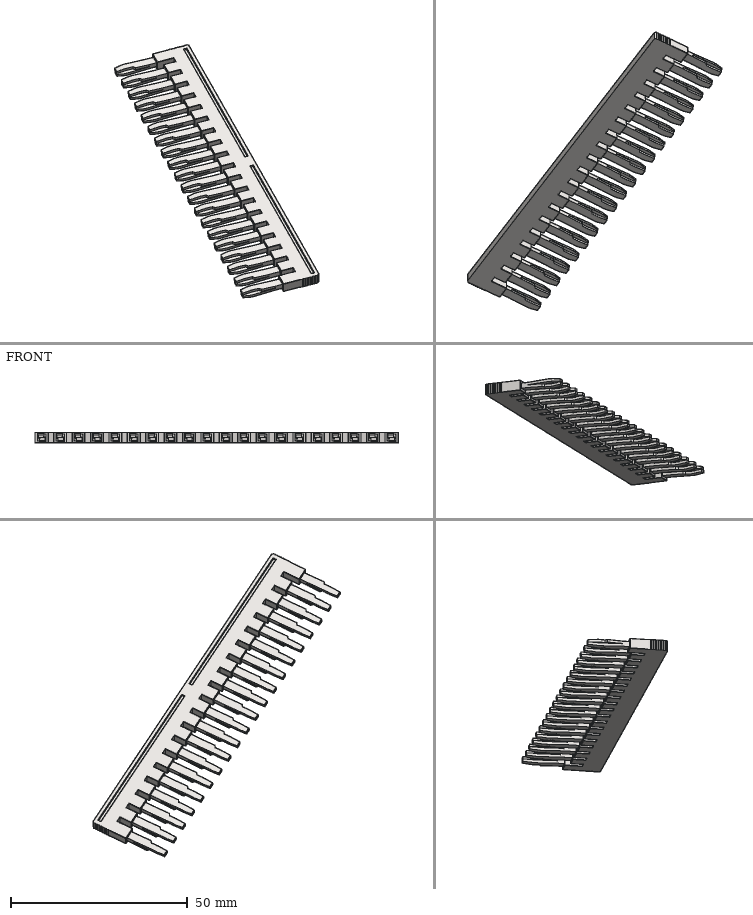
import cadquery as cq


total_length = 102.8
total_depth = 22.7
thickness = 3.0

serration_height = 0.1
serration_pitch = 0.7
serration_count = 7
serration_start = 0.4
serration_backing = 0.5

bar_length = total_length - serration_height
bar_depth = 5.9
back_corner_chamfer = 0.4
tooth_count = 20
end_pin_margin = 2.0
tooth_pitch = (bar_length - 2 * end_pin_margin) / (tooth_count - 1)
tooth_width = 3.7
tooth_chamfer = 0.1
inner_tooth_end = 9.6
outer_tooth_end = 10.9
tooth_overlap = 1.0

groove_margin = 1.3
groove_gap = 4.1
groove_back = 0.98
groove_width = 1.0
groove_depth = 0.3
groove_draft = 30.0

pin_width = 2.5
pin_thickness = 1.5
bend_start = 13.0
bulge_at = 19.6
bulge_thickness = 2.2
split_gap = 0.1
bulge_gap = 0.5
notch_start = 17.3
notch_end = 17.8
notch_width = 0.6
tip_taper_start = 20.8
tip_taper = 0.3

last_index = tooth_count - 1


def make_bar():
    """Back bar that carries all teeth, with its rear corners broken."""
    bar = cq.Workplane("XY").box(bar_length, bar_depth, thickness, centered=(False, False, True))
    bar = bar.translate((0, -bar_depth, 0))
    return bar.edges("|Z and >Y").chamfer(back_corner_chamfer)


def make_tooth(x_min, x_max, end_depth):
    """Tooth with all outer edges broken; its rear edges are buried in the bar."""
    length = end_depth - bar_depth + tooth_overlap
    tooth = cq.Workplane("XY").box(x_max - x_min, length, thickness)
    tooth = tooth.edges("|Y or <Y").chamfer(tooth_chamfer)
    return tooth.translate(((x_min + x_max) / 2, length / 2 - end_depth, 0))


def make_serration(x):
    """Row of small triangular ridges that rise in +X from the plane at x, on a thin backing."""
    back_x = x - serration_backing
    profile = cq.Workplane("XY").workplane(offset=-thickness / 2)
    profile = profile.moveTo(back_x, -serration_start).lineTo(x, -serration_start)
    for index in range(serration_count):
        ridge_start = serration_start + index * serration_pitch
        ridge_end = ridge_start + serration_pitch
        profile = profile.lineTo(x + serration_height, -ridge_start - serration_pitch / 2)
        profile = profile.lineTo(x, -ridge_end)
    return profile.lineTo(back_x, -ridge_end).close().extrude(thickness)


def make_groove(x_min, x_max):
    """Shallow marking groove with sloping walls, as a cutter."""
    length = x_max - x_min
    cutter = cq.Workplane("XY").workplane(offset=thickness / 2).rect(length, groove_width)
    cutter = cutter.extrude(-groove_depth, taper=groove_draft)
    return cutter.translate(((x_min + x_max) / 2, -groove_back - groove_width / 2, 0))


def make_leaf():
    """Upper spring leaf: plan outline intersected with its bent side profile."""
    half_width = pin_width / 2
    plan = (
        cq.Workplane("XY")
        .polyline([
            (-half_width, -bend_start),
            (half_width, -bend_start),
            (half_width, -notch_start),
            (half_width - notch_width, -notch_end),
            (half_width - notch_width, -total_depth),
            (-half_width + tip_taper, -total_depth),
            (-half_width, -tip_taper_start),
        ])
        .close()
        .extrude(thickness / 2)
    )
    side = (
        cq.Workplane("YZ")
        .polyline([
            (-bend_start, split_gap / 2),
            (-bulge_at, bulge_gap / 2),
            (-total_depth, split_gap / 2),
            (-total_depth, pin_thickness / 2),
            (-bulge_at, bulge_thickness / 2),
            (-bend_start, pin_thickness / 2),
        ])
        .close()
        .extrude(half_width, both=True)
    )
    return plan.intersect(side)


def make_pin():
    """Flat shank that splits into two leaves, the lower being the upper turned about Y."""
    shank_length = bend_start - bar_depth
    shank = cq.Workplane("XY").box(pin_width, shank_length, pin_thickness)
    shank = shank.translate((0, -bar_depth - shank_length / 2, 0))
    upper = make_leaf()
    lower = upper.rotate((0, 0, 0), (0, 1, 0), 180)
    return shank.union(upper).union(lower)


result = make_bar()

pin = make_pin()
for index in range(tooth_count):
    pin_x = end_pin_margin + index * tooth_pitch
    is_outer = index in (0, last_index)
    tooth_left = 0 if index == 0 else pin_x - tooth_width / 2
    tooth_right = bar_length if index == last_index else pin_x + tooth_width / 2
    tooth_end = outer_tooth_end if is_outer else inner_tooth_end
    result = result.union(make_tooth(tooth_left, tooth_right, tooth_end))
    result = result.union(pin.translate((pin_x, 0, 0)))

result = result.union(make_serration(bar_length))
result = result.cut(make_serration(0))

groove_inner = (total_length - groove_gap) / 2
result = result.cut(make_groove(groove_margin, groove_inner))
result = result.cut(make_groove(total_length - groove_inner, total_length - groove_margin))